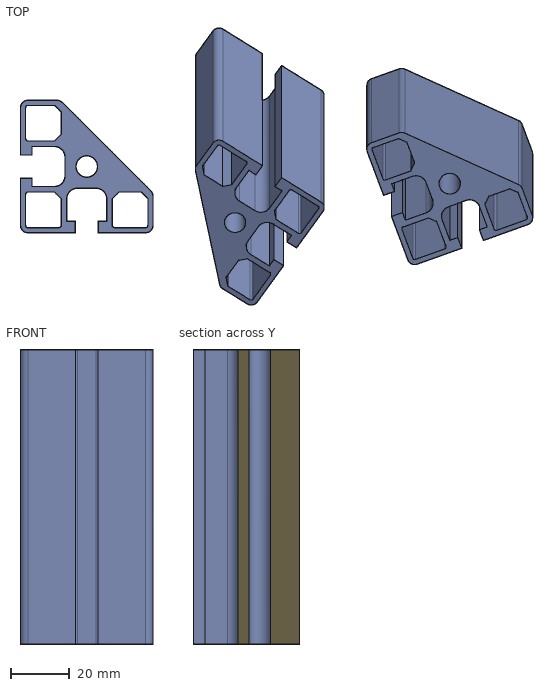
import cadquery as cq

side = 45.0
length = 100.0
middle = side / 2
flat_end = 13.5
outer_radius = 2.5

wall = 1.8
cavity_size = 12.0
cavity_chamfer = 2.2
cavity_radius = 0.7

slot_opening = 7.8
slot_width = 13.5
slot_depth = 15.1
slot_radius = 3.6
lip_depth = 4.0

bore_diameter = 7.2


def box_between(x_start, y_start, x_size, y_size):
    """Full-length block whose lower corner is at (x_start, y_start)."""
    block = cq.Workplane("XY").box(x_size, y_size, length, centered=False)
    return block.translate((x_start, y_start, 0))


def outer_body():
    outline = [(0, 0), (side, 0), (side, flat_end), (flat_end, side), (0, side)]
    body = cq.Workplane("XY").polyline(outline).close().extrude(length)
    return body.edges("|Z").fillet(outer_radius)


def bottom_slot():
    """T-slot entering from the Y = 0 face."""
    opening = box_between(middle - slot_opening / 2, 0, slot_opening, lip_depth)
    channel = box_between(middle - slot_width / 2, lip_depth, slot_width, slot_depth - lip_depth)
    channel = channel.faces(">Y").edges("|Z").fillet(slot_radius)
    return opening.union(channel)


def cavity(x_start, y_start, chamfered_edges):
    """Square hollow with chosen corners chamfered and the others rounded."""
    hollow = box_between(x_start, y_start, cavity_size, cavity_size)
    rounded = hollow.edges(f"|Z and (not ({chamfered_edges}))").fillet(cavity_radius)
    return rounded.edges(f"|Z and ({chamfered_edges})").chamfer(cavity_chamfer)


def mirror_across_diagonal(shape):
    """Swap X and Y by reflecting in the plane X = Y."""
    return shape.rotate((0, 0, 0), (0, 0, 1), 90).mirror("YZ")


far_start = side - wall - cavity_size
slot = bottom_slot()
right_cavity = cavity(far_start, wall, ">Y")
corner_cavity = cavity(wall, wall, ">(1, 1, 0)")
bore = cq.Workplane("XY").center(middle, middle).circle(bore_diameter / 2).extrude(length)

result = outer_body().cut(corner_cavity).cut(bore)
for pocket in (slot, right_cavity):
    result = result.cut(pocket).cut(mirror_across_diagonal(pocket))